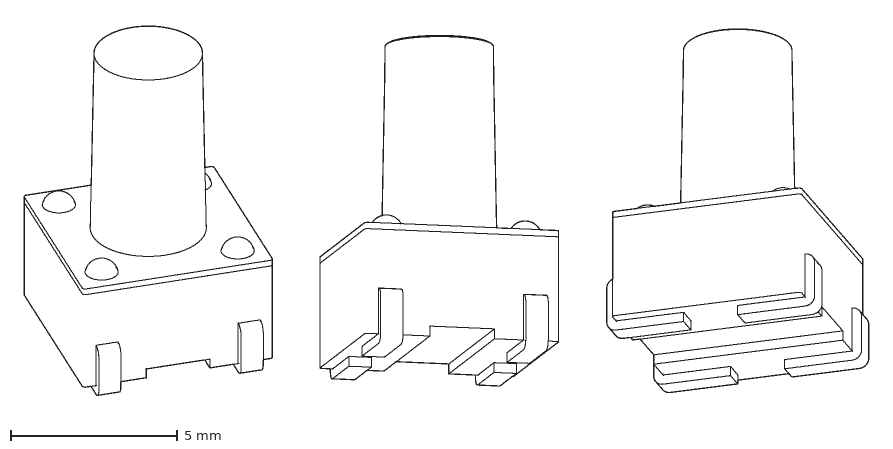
import cadquery as cq
import math

body_width = 6.0
body_corner_radius = 0.1
housing_height = 3.2
channel_width = 2.0
channel_depth = 0.3

cover_thickness = 0.2

rivet_shank_diameter = 0.8
rivet_head_diameter = 1.0
rivet_head_height = 0.4
rivet_spacing = 4.29

plunger_base_diameter = 3.5
plunger_rim_diameter = 3.27
plunger_flat_diameter = 3.01
plunger_rounding_height = 0.06
overall_height = 9.8

overall_width = 6.6
terminal_width = 0.7
terminal_height = 1.7
terminal_gap = 1.715
terminal_spacing = 4.49
terminal_thickness = (overall_width - body_width) / 2

housing_bottom = terminal_thickness
housing_top = housing_bottom + housing_height
cover_top = housing_top + cover_thickness


def rounded_block(bottom, height):
    """Square block centred on the Z axis with rounded upright edges."""
    return (
        cq.Workplane("XY", origin=(0, 0, bottom))
        .rect(body_width, body_width)
        .extrude(height)
        .edges("|Z")
        .fillet(body_corner_radius)
    )


def rivet_shanks():
    """Four round shanks that fill the thickness of the cover."""
    return (
        cq.Workplane("XY", origin=(0, 0, housing_top))
        .rect(rivet_spacing, rivet_spacing, forConstruction=True)
        .vertices()
        .circle(rivet_shank_diameter / 2)
        .extrude(cover_thickness)
    )


def rivet_heads():
    """Four spherical caps standing on the cover."""
    half_width = rivet_head_diameter / 2
    sphere_radius = (half_width**2 + rivet_head_height**2) / (2 * rivet_head_height)
    sphere_centre = cover_top + rivet_head_height - sphere_radius
    spheres = (
        cq.Workplane("XY", origin=(0, 0, sphere_centre))
        .rect(rivet_spacing, rivet_spacing, forConstruction=True)
        .vertices()
        .sphere(sphere_radius)
    )
    space_above_cover = rounded_block(cover_top, rivet_head_diameter)
    return spheres.intersect(space_above_cover)


def make_housing():
    """Block with a channel along X across its underside and rivets on its top."""
    channel = (
        cq.Workplane("XY", origin=(0, 0, housing_bottom))
        .rect(body_width, channel_width)
        .extrude(channel_depth)
    )
    block = rounded_block(housing_bottom, housing_height).cut(channel)
    return block.union(rivet_shanks()).union(rivet_heads())


def make_cover():
    """Plate over the housing with a hole for each rivet shank."""
    return rounded_block(housing_top, cover_thickness).cut(rivet_shanks())


def make_plunger():
    """Tapered round post standing on the cover, its flat top running smoothly into a rounded edge."""
    rim_radius = plunger_rim_diameter / 2
    rim_level = overall_height - plunger_rounding_height
    return (
        cq.Workplane("XZ")
        .moveTo(0, overall_height)
        .lineTo(plunger_flat_diameter / 2, overall_height)
        .tangentArcPoint((rim_radius, rim_level), relative=False)
        .lineTo(plunger_base_diameter / 2, cover_top)
        .lineTo(0, cover_top)
        .close()
        .revolve(360, (0, 0, 0), (0, 1, 0))
    )


def make_terminal(x_side, y_side):
    """Strip that runs under the housing and turns up against its side."""
    outer = overall_width / 2
    wall = body_width / 2
    inner_end = terminal_gap / 2
    bend = terminal_thickness
    bend_middle = bend * math.sqrt(0.5)
    y_middle = y_side * terminal_spacing / 2
    strip = (
        cq.Workplane("XZ", origin=(0, y_middle, 0))
        .moveTo(inner_end, 0)
        .lineTo(wall, 0)
        .threePointArc((wall + bend_middle, bend - bend_middle), (outer, bend))
        .lineTo(outer, terminal_height - bend)
        .threePointArc(
            (wall + bend_middle, terminal_height - bend + bend_middle),
            (wall, terminal_height),
        )
        .lineTo(wall, housing_bottom)
        .lineTo(inner_end, housing_bottom)
        .close()
        .extrude(terminal_width / 2, both=True)
    )
    return strip if x_side > 0 else strip.mirror("YZ")


housing = make_housing()
cover = make_cover()
plunger = make_plunger()
terminals = [make_terminal(x_side, y_side) for x_side in (-1, 1) for y_side in (-1, 1)]

result = cq.Compound.makeCompound(
    [housing.val(), cover.val(), plunger.val(), *[terminal.val() for terminal in terminals]]
)